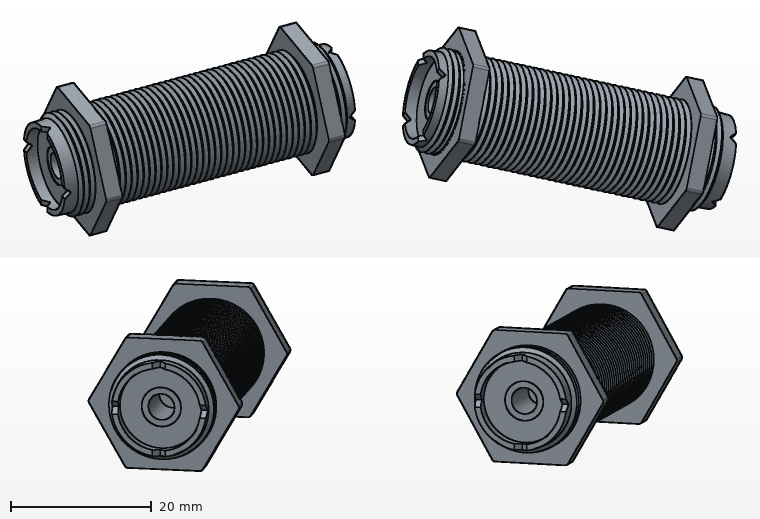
import cadquery as cq

length = 45.72
front_y = -length / 2
back_y = length / 2

pitch = 0.94
ridge_count = 45
crest_radius = 7.62
root_radius = 6.97
front_collar_length = 2.09
collar_end_radius = 6.87
thread_front_y = front_y + front_collar_length

socket_radius = 6.0
socket_depth = 1.78
contact_radius = 2.85
contact_recess = 0.1
contact_hole_radius = 1.9
contact_hole_depth = 8.0

notch_depth = 0.93
notch_half_width = notch_depth
notch_count = 4

nut_across_flats = 19.05
nut_thickness = 2.54
nut_corner_radius = 0.508
nut_turn = 30
front_nut_y = -18.26
back_nut_y = 16.78


def ring_threaded_barrel():
    """Revolved barrel: two tapered collars with V ridges between them."""
    outline = (
        cq.Workplane("XY")
        .moveTo(0, front_y)
        .lineTo(collar_end_radius, front_y)
        .lineTo(root_radius, thread_front_y)
    )
    for ridge in range(ridge_count):
        ridge_y = thread_front_y + ridge * pitch
        outline = outline.lineTo(crest_radius, ridge_y + pitch / 2)
        outline = outline.lineTo(root_radius, ridge_y + pitch)
    outline = outline.lineTo(collar_end_radius, back_y).lineTo(0, back_y).close()
    return outline.revolve(360, (0, 0, 0), (0, 1, 0))


def socket_cutter():
    """Stepped recess opening on the front end face."""
    contact_y = front_y + socket_depth + contact_recess
    return (
        cq.Workplane("XY")
        .moveTo(0, front_y)
        .lineTo(socket_radius, front_y)
        .lineTo(socket_radius, front_y + socket_depth)
        .lineTo(contact_radius, front_y + socket_depth)
        .lineTo(contact_radius, contact_y)
        .lineTo(contact_hole_radius, contact_y)
        .lineTo(contact_hole_radius, contact_y + contact_hole_depth)
        .lineTo(0, contact_y + contact_hole_depth)
        .close()
        .revolve(360, (0, 0, 0), (0, 1, 0))
    )


def notch_cutter():
    """V prism through the upper wall of the front rim."""
    return (
        cq.Workplane("XY")
        .moveTo(-notch_half_width, front_y)
        .lineTo(0, front_y + notch_depth)
        .lineTo(notch_half_width, front_y)
        .close()
        .extrude(crest_radius)
    )


def make_barrel():
    barrel = ring_threaded_barrel()
    end_cutters = [socket_cutter()]
    for notch in range(notch_count):
        angle = notch * 360 / notch_count
        end_cutters.append(notch_cutter().rotate((0, 0, 0), (0, 1, 0), angle))
    for cutter in end_cutters:
        barrel = barrel.cut(cutter)
        barrel = barrel.cut(cutter.mirror("XZ"))
    return barrel


def make_nut(nut_front_y, threaded_barrel):
    """Hexagonal nut with flats facing +Z and -Z, its bore matching the ring thread."""
    nut = (
        cq.Workplane("XZ", origin=(0, nut_front_y, 0))
        .polygon(6, nut_across_flats, circumscribed=True)
        .extrude(-nut_thickness)
        .rotate((0, 0, 0), (0, 1, 0), nut_turn)
        .edges("|Y")
        .fillet(nut_corner_radius)
    )
    return nut.cut(threaded_barrel)


barrel = make_barrel()
nut_bore = ring_threaded_barrel()
nuts = [make_nut(nut_y, nut_bore) for nut_y in (front_nut_y, back_nut_y)]

result = cq.Compound.makeCompound([barrel.solids().val()] + [nut.solids().val() for nut in nuts])